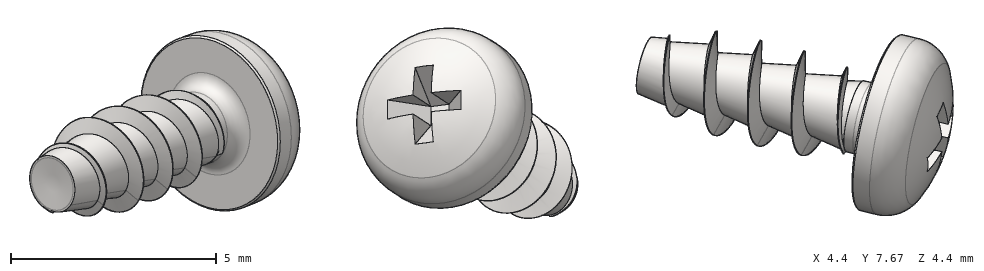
import cadquery as cq
import math


HEAD_RADIUS = 2.2
HEAD_HEIGHT = 1.69
RIM_HEIGHT = 0.47
RIM_EDGE_CHAMFER = 0.045
SHOULDER_RADIUS = 0.905
DOME_EDGE_RADIUS = 1.765

WING_WIDTH = 0.48
WING_REACH = 1.08
RECESS_DEPTH = 1.07

SHANK_RADIUS = 0.8935
NECK_FILLET = 0.39
SHANK_END_Y = -0.62
TIP_Y = -6.0

CORE_LARGE_RADIUS = 0.87
CORE_LARGE_OFFSET = -0.16
CORE_SMALL_RADIUS = 0.74
CORE_SMALL_OFFSET = -0.9
RUN_IN_TAPER = 0.25
RUN_IN_MAX_RADIUS = 1.0
TIP_RADIUS = 0.71
TIP_TAPER = 0.16
DIMPLE_RADIUS = 0.66
DIMPLE_DEPTH = 0.06

PITCH = 1.12
CREST_RADIUS = 1.26
HALF_CREST_WIDTH = 0.0115
FLANK_ANGLE = 15.0
FLANK_SLOPE = math.tan(math.radians(FLANK_ANGLE))
FIRST_CREST_Y = -0.68
START_TURN = (FIRST_CREST_Y - SHANK_END_Y) / PITCH
START_CREST_RADIUS = 1.01
FULL_START_TURN = 1.0
FULL_END_TURN = 3.3
END_TURN = 4.7
END_CREST_RADIUS = 0.74

CUTTER_START_TURN = -1.1
CUTTER_TURNS = 6
CUTTER_OUTER_RADIUS = CREST_RADIUS + 0.15
CREST_CLEARANCE = 0.02
STEPS_PER_TURN = 24


def revolve_about_y(profile):
    """Turn a closed XY profile a full revolution about the Y axis."""
    return profile.close().revolve(360, (0, 0, 0), (0, 1, 0))


def crest_y(turn):
    """Height of the thread crest at a given turn."""
    return FIRST_CREST_Y - PITCH * turn


def make_head():
    centre_radius = HEAD_RADIUS - SHOULDER_RADIUS
    end_angle = math.acos((DOME_EDGE_RADIUS - centre_radius) / SHOULDER_RADIUS)
    dome_edge_y = RIM_HEIGHT + SHOULDER_RADIUS * math.sin(end_angle)
    shoulder_middle = (
        centre_radius + SHOULDER_RADIUS * math.cos(end_angle / 2),
        RIM_HEIGHT + SHOULDER_RADIUS * math.sin(end_angle / 2),
    )
    dome_rise = HEAD_HEIGHT - dome_edge_y
    dome_radius = (DOME_EDGE_RADIUS**2 + dome_rise**2) / (2 * dome_rise)
    middle_radius = DOME_EDGE_RADIUS / 2
    middle_sag = dome_radius - math.sqrt(dome_radius**2 - middle_radius**2)
    profile = (
        cq.Workplane("XY")
        .moveTo(0, 0)
        .lineTo(HEAD_RADIUS - RIM_EDGE_CHAMFER, 0)
        .lineTo(HEAD_RADIUS, RIM_EDGE_CHAMFER)
        .lineTo(HEAD_RADIUS, RIM_HEIGHT)
        .threePointArc(shoulder_middle, (DOME_EDGE_RADIUS, dome_edge_y))
        .threePointArc((middle_radius, HEAD_HEIGHT - middle_sag), (0, HEAD_HEIGHT))
    )
    return revolve_about_y(profile)


def make_cross_recess():
    floor_y = HEAD_HEIGHT - RECESS_DEPTH
    wing = (
        cq.Workplane("XY")
        .moveTo(-WING_REACH, HEAD_HEIGHT)
        .lineTo(WING_REACH, HEAD_HEIGHT)
        .lineTo(WING_WIDTH / 2, floor_y)
        .lineTo(-WING_WIDTH / 2, floor_y)
        .close()
        .extrude(WING_WIDTH / 2, both=True)
    )
    return wing.union(wing.rotate((0, 0, 0), (0, 1, 0), 90))


def make_shank():
    fillet_inset = NECK_FILLET * (1 - math.sqrt(0.5))
    profile = (
        cq.Workplane("XY")
        .moveTo(0, 0)
        .lineTo(SHANK_RADIUS + NECK_FILLET, 0)
        .threePointArc((SHANK_RADIUS + fillet_inset, -fillet_inset), (SHANK_RADIUS, -NECK_FILLET))
        .lineTo(SHANK_RADIUS, SHANK_END_Y)
        .lineTo(0, SHANK_END_Y)
    )
    return revolve_about_y(profile)


def make_thread_blank():
    profile = (
        cq.Workplane("XY")
        .moveTo(0, SHANK_END_Y)
        .lineTo(START_CREST_RADIUS, SHANK_END_Y)
        .lineTo(CREST_RADIUS, crest_y(FULL_START_TURN))
        .lineTo(CREST_RADIUS, crest_y(FULL_END_TURN))
        .lineTo(END_CREST_RADIUS, crest_y(END_TURN))
        .lineTo(END_CREST_RADIUS, TIP_Y)
        .lineTo(0, TIP_Y)
    )
    return revolve_about_y(profile)


def crest_radius(turn):
    """Crest radius, which grows at the run-in and fades at the run-out."""
    run_in = (turn - START_TURN) / (FULL_START_TURN - START_TURN)
    run_out = (END_TURN - turn) / (END_TURN - FULL_END_TURN)
    run_in_radius = START_CREST_RADIUS + max(run_in, 0) * (CREST_RADIUS - START_CREST_RADIUS)
    run_out_radius = END_CREST_RADIUS + max(run_out, 0) * (CREST_RADIUS - END_CREST_RADIUS)
    return min(run_in_radius, run_out_radius, CREST_RADIUS)


def core_radius(nominal_radius, y):
    """Nominal core radius, raised to the run-in cone and lowered to the tip cone."""
    run_in_cone = min(SHANK_RADIUS + RUN_IN_TAPER * (y - SHANK_END_Y), RUN_IN_MAX_RADIUS)
    tip_cone = TIP_RADIUS + TIP_TAPER * (y - TIP_Y)
    return min(max(nominal_radius, run_in_cone), tip_cone)


def groove_section(turn):
    """Corners (radius, y) of the space between the crests of this turn and the next."""
    y = crest_y(turn)
    large_y = y + CORE_LARGE_OFFSET
    large_radius = core_radius(CORE_LARGE_RADIUS, large_y)
    small_radius = core_radius(CORE_SMALL_RADIUS, y + CORE_SMALL_OFFSET)
    floor_slope = (large_radius - small_radius) / (CORE_LARGE_OFFSET - CORE_SMALL_OFFSET)

    def corners(crest, wall_y, direction):
        floor_at_wall = large_radius + floor_slope * (wall_y - large_y)
        depth = (crest - floor_at_wall) / (1 + direction * floor_slope * FLANK_SLOPE)
        top_y = wall_y - direction * CREST_CLEARANCE * FLANK_SLOPE
        foot = (crest - depth, wall_y + direction * depth * FLANK_SLOPE)
        top = (crest + CREST_CLEARANCE, top_y)
        return [(CUTTER_OUTER_RADIUS, top_y), top, foot]

    upper = corners(crest_radius(turn), y - HALF_CREST_WIDTH, -1)
    lower = corners(crest_radius(turn + 1), y - PITCH + HALF_CREST_WIDTH, 1)
    return upper + lower[::-1]


def make_groove_cutter(start_turn):
    """One turn of the solid swept by the groove section; each corner runs along its own helix."""
    paths = [[] for _ in groove_section(start_turn)]
    for step in range(STEPS_PER_TURN + 1):
        turn = start_turn + step / STEPS_PER_TURN
        angle = 2 * math.pi * turn
        for path, (radius, y) in zip(paths, groove_section(turn)):
            path.append(cq.Vector(radius * math.cos(angle), y, radius * math.sin(angle)))
    edges = [cq.Edge.makeSpline(path) for path in paths]
    faces = []
    for edge, next_edge in zip(edges, edges[1:] + edges[:1]):
        faces.append(cq.Face.makeRuledSurface(edge, next_edge))
    for end in (0, -1):
        outline = cq.Wire.makePolygon([path[end] for path in paths], close=True)
        faces.append(cq.Face.makeFromWires(outline))
    return cq.Workplane(cq.Solid.makeSolid(cq.Shell.makeShell(faces)))


def make_tip_dimple():
    profile = (
        cq.Workplane("XY")
        .moveTo(0, TIP_Y)
        .lineTo(DIMPLE_RADIUS, TIP_Y)
        .lineTo(0, TIP_Y + DIMPLE_DEPTH)
    )
    return revolve_about_y(profile)


threaded_part = make_thread_blank()
for index in range(CUTTER_TURNS):
    threaded_part = threaded_part.cut(make_groove_cutter(CUTTER_START_TURN + index))
threaded_part = threaded_part.cut(make_tip_dimple())
head = make_head().cut(make_cross_recess())
result = cq.Workplane(head.union(make_shank()).union(threaded_part).solids().val())